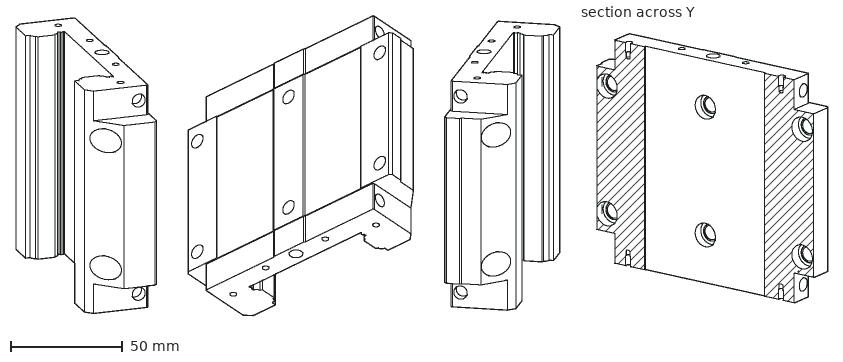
import cadquery as cq
import math

total_width = 120.0
total_height = 29.8
total_length = 105.0
block_length = 77.0
cap_width = 98.5

top_y = total_height / 2
bottom_y = -top_y
half_width = total_width / 2
foot_edge_x = 46.1
top_chamfer = 1.2
side_step = 0.9
side_step_y = 7.9

pad_step = 0.4
side_pad_x = 42.2
crown_top_x = 8.5
crown_foot_x = 9.5
cap_drop = 0.4
cap_bevel_height = 0.7
cap_bevel_width = 0.2

ceiling_y = 3.5
ceiling_corner_x = 32.8
lip_x = 32.3
lip_top_y = 2.9
lip_bottom_y = 1.5
channel_x = 33.0
land_x = 29.8
land_top_y = -2.2
land_bottom_y = -10.2
ledge_width = 1.1
ledge_rise = 0.6
shoulder_height = 1.9
shoulder_radius = 2.3

bolt_x = 53.5
bolt_z = 30.0
bolt_diameter = 6.7
bolt_relief_diameter = 8.0
bolt_relief_depth = 0.2
bolt_head_diameter = 11.0
bolt_seat_y = 7.8

port_diameter = 6.1
port_y = 9.7
port_z = 45.6
port_depth = 5.0
drill_point_angle = 118.0
screw_diameter = 3.0
screw_bore_diameter = 2.5
screw_depth = 4.8
screw_bore_depth = 7.2
inner_screw_x, inner_screw_y = 17.5, 10.1
outer_screw_x, outer_screw_y = 41.9, 3.7


def extrude_along_rail(outline, length):
    """Close an outline drawn in X and Y and extrude it, centred on Z = 0."""
    return outline.close().extrude(length / 2, both=True)


def flank_y(x):
    """Height of the 45 degree lower flank at a distance x from the centre plane."""
    return bottom_y + x - foot_edge_x


def block_body():
    """Full-width section with the mounting flanges."""
    recess_y = top_y - pad_step
    step_x = half_width - side_step
    outline = (
        cq.Workplane("XY")
        .moveTo(-foot_edge_x, bottom_y)
        .lineTo(-step_x, flank_y(step_x))
        .lineTo(-step_x, side_step_y - side_step)
        .lineTo(-half_width, side_step_y)
        .lineTo(-half_width, top_y - top_chamfer)
        .lineTo(-half_width + top_chamfer, top_y)
        .lineTo(-side_pad_x, top_y)
        .lineTo(-side_pad_x, recess_y)
        .lineTo(-crown_foot_x, recess_y)
        .lineTo(-crown_top_x, top_y)
        .lineTo(crown_top_x, top_y)
        .lineTo(crown_foot_x, recess_y)
        .lineTo(side_pad_x, recess_y)
        .lineTo(side_pad_x, top_y)
        .lineTo(half_width - top_chamfer, top_y)
        .lineTo(half_width, top_y - top_chamfer)
        .lineTo(half_width, flank_y(half_width))
        .lineTo(foot_edge_x, bottom_y)
    )
    return extrude_along_rail(outline, block_length)


def cap_body():
    """Narrower section running the full length; its ends are the end caps."""
    crown_y = top_y - cap_drop
    cap_top_y = crown_y - pad_step
    side_x = cap_width / 2
    outline = (
        cq.Workplane("XY")
        .moveTo(-foot_edge_x, bottom_y)
        .lineTo(-side_x, flank_y(side_x))
        .lineTo(-side_x, cap_top_y - cap_bevel_height)
        .lineTo(-side_x + cap_bevel_width, cap_top_y)
        .lineTo(-crown_foot_x, cap_top_y)
        .lineTo(-crown_top_x, crown_y)
        .lineTo(crown_top_x, crown_y)
        .lineTo(crown_foot_x, cap_top_y)
        .lineTo(side_x - cap_bevel_width, cap_top_y)
        .lineTo(side_x, cap_top_y - cap_bevel_height)
        .lineTo(side_x, flank_y(side_x))
        .lineTo(foot_edge_x, bottom_y)
    )
    return extrude_along_rail(outline, total_length)


def rail_channel():
    """Channel open towards -Y, made from one half mirrored about the centre plane."""
    shoulder_x = land_x + ledge_width
    upper_ledge_y = land_top_y + ledge_rise
    lower_ledge_y = land_bottom_y - ledge_rise
    outline = (
        cq.Workplane("XY")
        .moveTo(0, ceiling_y)
        .lineTo(ceiling_corner_x, ceiling_y)
        .lineTo(ceiling_corner_x, lip_top_y)
        .lineTo(lip_x, lip_top_y)
        .lineTo(lip_x, lip_bottom_y)
        .lineTo(channel_x, lip_bottom_y)
        .lineTo(channel_x, upper_ledge_y + shoulder_height)
        .radiusArc((shoulder_x, upper_ledge_y), -shoulder_radius)
        .lineTo(land_x, land_top_y)
        .lineTo(land_x, land_bottom_y)
        .lineTo(shoulder_x, lower_ledge_y)
        .radiusArc((channel_x, lower_ledge_y - shoulder_height), -shoulder_radius)
        .lineTo(channel_x, bottom_y)
        .lineTo(0, bottom_y)
    )
    half = extrude_along_rail(outline, total_length)
    return half.union(half.mirror("YZ"))


def cylinder(diameter, depth, start, direction):
    """Cylinder growing from the start point along the direction."""
    solid = cq.Solid.makeCylinder(diameter / 2, depth, cq.Vector(*start), cq.Vector(*direction))
    return cq.Workplane(solid)


def drilled_hole(diameter, depth, start, direction):
    """Blind hole with a conical drill point beyond its full-diameter depth."""
    radius = diameter / 2
    point_length = radius / math.tan(math.radians(drill_point_angle / 2))
    axis = cq.Vector(*direction)
    point_start = cq.Vector(*start) + axis * depth
    point = cq.Solid.makeCone(radius, 0, point_length, point_start, axis)
    return cylinder(diameter, depth, start, direction).union(cq.Workplane(point))


def mounting_hole(x, z):
    """Through hole with a head counterbore opening towards -Y."""
    to_bottom = (0, -1, 0)
    head_depth = bolt_seat_y - bottom_y
    bore = cylinder(bolt_diameter, total_height, (x, top_y, z), to_bottom)
    relief_y = bolt_seat_y + bolt_relief_depth
    relief = cylinder(bolt_relief_diameter, bolt_relief_depth, (x, relief_y, z), to_bottom)
    head = cylinder(bolt_head_diameter, head_depth, (x, bolt_seat_y, z), to_bottom)
    return bore.union(relief).union(head)


def screw_hole(x, y, end):
    """Tapped blind hole in the end cap at +Z (end = 1) or -Z (end = -1)."""
    start = (x, y, end * total_length / 2)
    inward = (0, 0, -end)
    thread = cylinder(screw_diameter, screw_depth, start, inward)
    return thread.union(drilled_hole(screw_bore_diameter, screw_bore_depth, start, inward))


result = block_body().union(cap_body()).cut(rail_channel())

for x in (-bolt_x, 0, bolt_x):
    for z in (-bolt_z, bolt_z):
        result = result.cut(mounting_hole(x, z))

for end in (-1, 1):
    end_start = (0, port_y, end * total_length / 2)
    result = result.cut(drilled_hole(port_diameter, port_depth, end_start, (0, 0, -end)))
    for side in (-1, 1):
        result = result.cut(screw_hole(side * inner_screw_x, inner_screw_y, end))
        result = result.cut(screw_hole(side * outer_screw_x, outer_screw_y, end))
        side_start = (side * cap_width / 2, port_y, end * port_z)
        result = result.cut(drilled_hole(port_diameter, port_depth, side_start, (-side, 0, 0)))